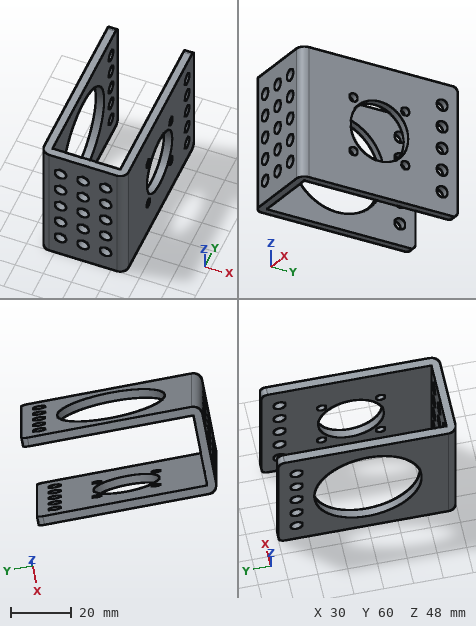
import cadquery as cq

width = 30.0
depth = 60.0
height = 48.0
wall = 3.0
bend_radius = wall
corner_radius = 2.05

grid_hole_diameter = 4.0
grid_rows = 5
grid_columns = 3
grid_pitch = height / (grid_rows + 1)
end_row_inset = 6.0

clearance_diameter = 36.0
pilot_diameter = 22.0
screw_hole_diameter = 3.0
screw_circle_diameter = 28.0
screw_count = 4


def make_channel():
    """U-shaped channel with rounded outer bends and rounded flange corners."""
    block = cq.Workplane("XY").box(width, depth, height)
    block = block.edges("|Z and <Y").fillet(bend_radius)
    block = block.edges("|X and >Y").fillet(corner_radius)
    cavity = cq.Workplane("XY").box(width - 2 * wall, depth, height).translate((0, wall, 0))
    return block.cut(cavity)


def web_holes():
    """Grid of holes through the web, along Y."""
    return (
        cq.Workplane("XZ", origin=(0, -depth / 2 + wall, 0))
        .rarray(grid_pitch, grid_pitch, grid_columns, grid_rows)
        .circle(grid_hole_diameter / 2)
        .extrude(wall)
    )


def flange_end_holes():
    """Row of holes through both flanges near their free ends."""
    return (
        cq.Workplane("YZ", origin=(-width / 2, depth / 2 - end_row_inset, 0))
        .rarray(0.6, grid_pitch, 1, grid_rows)
        .circle(grid_hole_diameter / 2)
        .extrude(width)
    )


def clearance_opening():
    """Large round opening through the -X flange."""
    return cq.Workplane("YZ", origin=(-width / 2, 0, 0)).circle(clearance_diameter / 2).extrude(wall)


def motor_mount_holes():
    """Pilot opening and its screw holes through the +X flange."""
    flange_plane = cq.Workplane("YZ", origin=(width / 2 - wall, 0, 0))
    pilot = flange_plane.circle(pilot_diameter / 2).extrude(wall)
    first_screw_angle = 180 / screw_count
    screws = (
        flange_plane.polarArray(screw_circle_diameter / 2, first_screw_angle, 360, screw_count)
        .circle(screw_hole_diameter / 2)
        .extrude(wall)
    )
    return pilot.union(screws)


result = (
    make_channel()
    .cut(web_holes())
    .cut(flange_end_holes())
    .cut(clearance_opening())
    .cut(motor_mount_holes())
)